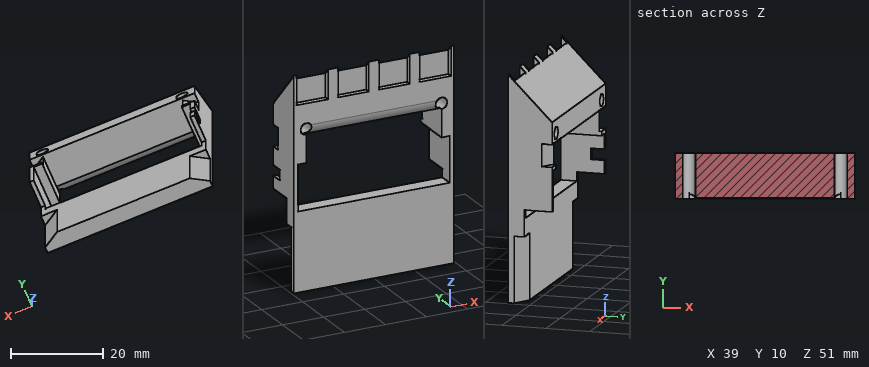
import cadquery as cq

width = 39.0
depth = 10.0
height = 51.0
plate_depth = 3.65
block_bottom = 21.0
middle = width / 2

window_side_wall = 1.0
window_bottom = 19.0
window_step = 30.0
window_top = 36.0
narrow_side_wall = 3.0

hole_diameter = 2.7
hole_height = 38.0
lip_top = 38.85
lip_depth = 2.05
lip_bulge = 0.35

pocket_depth = 1.35
pocket_bottom = 43.95
pocket_outer_edge = 0.65
pocket_outer_width = 7.7
pocket_inner_edge = 10.75
pocket_inner_width = 7.5

notch_bottom = 30.95
notch_edge_depth = 7.65
notch_inner_depth = 9.5

slot_bottom = 24.05
slot_height = 2.45
slot_front = 6.9

bevel_top = 15.0
bevel_edge_depth = 1.4
bevel_width = 3.8


def box(x, y, z, size_x, size_y, size_z):
    """Box given by its lowest corner and its sizes."""
    return cq.Workplane("XY").box(size_x, size_y, size_z, centered=False).translate((x, y, z))


def on_both_sides(shape):
    """The shape together with its mirror image about the middle of the width."""
    mirrored = shape.translate((-middle, 0, 0)).mirror("YZ").translate((middle, 0, 0))
    return shape.union(mirrored)


def make_body():
    """Side profile with a 45 degree sloping top, extruded across the width."""
    profile = [
        (0, 0),
        (plate_depth, 0),
        (plate_depth, block_bottom),
        (depth, block_bottom),
        (depth, height - depth),
        (0, height),
    ]
    return cq.Workplane("YZ").polyline(profile).close().extrude(width)


def make_window():
    wide = box(
        window_side_wall, 0, window_bottom,
        width - 2 * window_side_wall, depth, window_step - window_bottom,
    )
    narrow = box(
        narrow_side_wall, 0, window_step,
        width - 2 * narrow_side_wall, depth, window_top - window_step,
    )
    return wide.union(narrow)


def make_holes():
    hole = (
        cq.Workplane("XZ")
        .center(narrow_side_wall, hole_height)
        .circle(hole_diameter / 2)
        .extrude(-depth)
    )
    return on_both_sides(hole)


def make_lip_cut():
    """Material removed to leave a convex rounded lip along the top of the window."""
    bulge_point = (
        lip_depth / 2 - lip_bulge,
        (lip_top + window_top) / 2 - lip_bulge,
    )
    return (
        cq.Workplane("YZ", origin=(narrow_side_wall, 0, 0))
        .moveTo(0, window_top)
        .lineTo(0, lip_top)
        .threePointArc(bulge_point, (lip_depth, window_top))
        .close()
        .extrude(width - 2 * narrow_side_wall)
    )


def make_pockets():
    pocket_height = height - pocket_bottom
    outer = box(pocket_outer_edge, 0, pocket_bottom, pocket_outer_width, pocket_depth, pocket_height)
    inner = box(pocket_inner_edge, 0, pocket_bottom, pocket_inner_width, pocket_depth, pocket_height)
    return on_both_sides(outer.union(inner))


def make_strap_notches():
    """Notches whose floors rise from the outer sides toward the window."""
    notch = (
        cq.Workplane("XY", origin=(0, 0, notch_bottom))
        .moveTo(0, notch_edge_depth)
        .lineTo(narrow_side_wall, notch_inner_depth)
        .lineTo(narrow_side_wall, depth)
        .lineTo(0, depth)
        .close()
        .extrude(window_top - notch_bottom)
    )
    return on_both_sides(notch)


def make_slot():
    return box(0, slot_front, slot_bottom, window_side_wall, depth - slot_front, slot_height)


def make_bevels():
    bevel = (
        cq.Workplane("XY")
        .moveTo(0, bevel_edge_depth)
        .lineTo(bevel_width, plate_depth)
        .lineTo(0, plate_depth)
        .close()
        .extrude(bevel_top)
    )
    return on_both_sides(bevel)


result = (
    make_body()
    .cut(make_window())
    .cut(make_holes())
    .cut(make_lip_cut())
    .cut(make_pockets())
    .cut(make_strap_notches())
    .cut(make_slot())
    .cut(make_bevels())
)